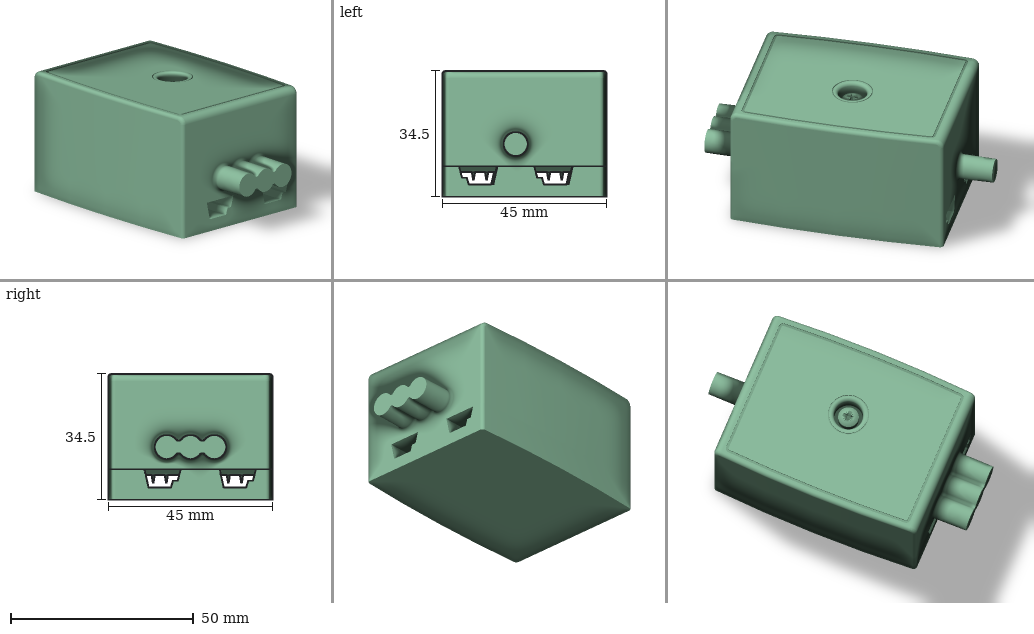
import cadquery as cq
import math

BOX_LENGTH = 60.0
END_WIDTH = 43.0
SIDE_RADIUS = 441.6
BOX_HEIGHT = 34.5
SPLIT_HEIGHT = 8.4
END_EDGE_RADIUS = 2.0
SIDE_EDGE_RADIUS = END_EDGE_RADIUS / 2

RECESS_END_INSET = 2.7
RECESS_SIDE_INSET = 1.8
RECESS_CORNER_RADIUS = 1.3
LABEL_GAP = 0.7
LABEL_THICKNESS = 0.3
LABEL_HOLE_DIAMETER = 11.3
COLLAR_DIAMETER = 10.6

SCREW_Y = 2.6
WELL_DIAMETER = 8.0
WELL_DEPTH = 4.5
WELL_EDGE_RADIUS = 1.0
HEAD_DIAMETER = 5.7
HEAD_RIM_HEIGHT = 2.1
DOME_HEIGHT = 0.8
SHANK_DIAMETER = 3.2
SHANK_TIP_HEIGHT = 3.2
CROSS_SPAN = 3.9
CROSS_ARM_WIDTH = 1.0
CROSS_DEPTH = 1.3
NOTCH_SPAN = 3.7
NOTCH_WIDTH = 0.12

OVERALL_LENGTH = 80.0
CABLE_DIAMETER = 6.6
CABLE_HEIGHT = 14.5
CABLE_DRAFT = 0.7
INLET_Y = 2.4
INLET_ROOT_RADIUS = 0.8
OUTLET_COUNT = 3
OUTLET_PITCH = 6.5
OUTLET_VALLEY_RADIUS = 0.8
OUTLET_ROOT_RADIUS = 0.7

CHANNEL_CENTRES = (12.6, -7.9)
CHANNEL_TOP_LEFT = 5.3
CHANNEL_STEP_OUTER = 4.4
CHANNEL_STEP_INNER = 3.1
CHANNEL_FLOOR_LEFT = 2.6
CHANNEL_FLOOR_RIGHT = 4.2
CHANNEL_TOP_RIGHT = 5.3
CHANNEL_STEP_HEIGHT = 5.3
CHANNEL_FLOOR_HEIGHT = 3.4
CHANNEL_TAPER = 0.6
TONGUE_HEIGHT = 6.8
TONGUE_LENGTH = 20.0
PIN_PITCH = 3.6
PIN_OFFSET = -0.5
PIN_ROOT_DIAMETER = 1.0
PIN_TIP_DIAMETER = 0.2
PIN_LENGTH = 2.1

CABLE_LENGTH = (OVERALL_LENGTH - BOX_LENGTH) / 2
HALF_LENGTH = BOX_LENGTH / 2
SIDE_BOW = SIDE_RADIUS - math.sqrt(SIDE_RADIUS**2 - HALF_LENGTH**2)
BOX_WIDTH = END_WIDTH + 2 * SIDE_BOW
LABEL_FLOOR = BOX_HEIGHT - LABEL_THICKNESS
WELL_FLOOR = BOX_HEIGHT - WELL_DEPTH


def bowed_block(end_inset, side_inset, bottom, top):
    """Block whose two long sides bulge outwards as arcs, inset from the box outline."""
    half_x = HALF_LENGTH - end_inset
    crest_y = BOX_WIDTH / 2 - side_inset
    radius = SIDE_RADIUS - side_inset
    corner_y = crest_y - radius + math.sqrt(radius**2 - half_x**2)
    return (
        cq.Workplane("XY", origin=(0, 0, bottom))
        .moveTo(-half_x, -corner_y)
        .threePointArc((0, -crest_y), (half_x, -corner_y))
        .lineTo(half_x, corner_y)
        .threePointArc((0, crest_y), (-half_x, corner_y))
        .close()
        .extrude(top - bottom)
    )


def disc(diameter, bottom, top):
    """Upright cylinder on the screw axis."""
    return cq.Workplane("XY", origin=(0, SCREW_Y, bottom)).circle(diameter / 2).extrude(top - bottom)


def box_between(x_min, x_max, y_min, y_max, z_min, z_max):
    return cq.Workplane("XY", origin=(x_min, y_min, z_min)).box(
        x_max - x_min, y_max - y_min, z_max - z_min, centered=False
    )


def enclosure():
    """Outer form shared by base and cover, with all outside edges rounded."""
    form = bowed_block(0, 0, 0, BOX_HEIGHT)
    form = form.faces(">Z").edges("|Y").fillet(END_EDGE_RADIUS)
    return form.faces(">Y or <Y").edges("not <Z").fillet(SIDE_EDGE_RADIUS)


def channel(centre_y):
    """Stepped channel along X whose right wall closes in towards +X."""

    def profile(plane, taper):
        return plane.polyline(
            [
                (centre_y + CHANNEL_TOP_LEFT, SPLIT_HEIGHT),
                (centre_y + CHANNEL_STEP_OUTER, CHANNEL_STEP_HEIGHT),
                (centre_y + CHANNEL_STEP_INNER, CHANNEL_STEP_HEIGHT),
                (centre_y + CHANNEL_FLOOR_LEFT, CHANNEL_FLOOR_HEIGHT),
                (centre_y - CHANNEL_FLOOR_RIGHT + taper, CHANNEL_FLOOR_HEIGHT),
                (centre_y - CHANNEL_TOP_RIGHT + taper, SPLIT_HEIGHT),
            ]
        ).close()

    near = profile(cq.Workplane("YZ", origin=(-HALF_LENGTH, 0, 0)), 0)
    return profile(near.workplane(offset=BOX_LENGTH), CHANNEL_TAPER).loft(ruled=True)


def tongue(centre_y):
    """Bar under the cover that fills the top of a channel over its middle stretch."""
    slab = box_between(
        -TONGUE_LENGTH / 2, TONGUE_LENGTH / 2, -BOX_WIDTH / 2, BOX_WIDTH / 2, TONGUE_HEIGHT, SPLIT_HEIGHT
    )
    return channel(centre_y).intersect(slab)


def pin(y):
    """Tapered pin hanging from a tongue."""
    return cq.Workplane(
        cq.Solid.makeCone(
            PIN_ROOT_DIAMETER / 2, PIN_TIP_DIAMETER / 2, PIN_LENGTH, pnt=(0, y, TONGUE_HEIGHT), dir=(0, 0, -1)
        )
    )


def inlet_cable():
    """Single cable on the -X end, slightly thicker at its root."""
    tip = cq.Workplane("YZ", origin=(-HALF_LENGTH - CABLE_LENGTH, INLET_Y, CABLE_HEIGHT))
    return tip.circle(CABLE_DIAMETER / 2).extrude(CABLE_LENGTH, taper=-CABLE_DRAFT)


def outlet_cables():
    """Row of cables on the +X end, with rounded valleys between neighbours."""
    first_y = -OUTLET_PITCH * (OUTLET_COUNT - 1) / 2
    tip = cq.Sketch().push([(first_y + index * OUTLET_PITCH, 0) for index in range(OUTLET_COUNT)])
    tip = tip.circle(CABLE_DIAMETER / 2).reset()
    for index in range(1, OUTLET_COUNT):
        tip = tip.face(outlet_web(first_y + (index - 0.5) * OUTLET_PITCH))
    tip = tip.clean()
    free_end = cq.Workplane("YZ", origin=(HALF_LENGTH + CABLE_LENGTH, 0, CABLE_HEIGHT))
    return free_end.placeSketch(tip).extrude(-CABLE_LENGTH, taper=-CABLE_DRAFT)


def outlet_web(middle_y):
    """Outline of the web between two cables, its top and bottom hollowed tangent to both."""
    reach = CABLE_DIAMETER / 2 + OUTLET_VALLEY_RADIUS
    half_pitch = OUTLET_PITCH / 2
    valley_rise = math.sqrt(reach**2 - half_pitch**2)
    touch = CABLE_DIAMETER / 2 / reach
    touch_y = half_pitch * (1 - touch)
    touch_z = valley_rise * touch
    valley_z = valley_rise - OUTLET_VALLEY_RADIUS
    return (
        cq.Workplane("XY", origin=(middle_y, 0, 0))
        .moveTo(-touch_y, touch_z)
        .threePointArc((0, valley_z), (touch_y, touch_z))
        .lineTo(touch_y, -touch_z)
        .threePointArc((0, -valley_z), (-touch_y, -touch_z))
        .close()
        .val()
    )


def root_edges(solid, x, y_min, y_max):
    """Edges where cables meet an end wall."""
    size = CABLE_DIAMETER / 2 + 0.4
    return solid.edges(
        cq.selectors.BoxSelector(
            (x - 0.1, y_min - size, CABLE_HEIGHT - size), (x + 0.1, y_max + size, CABLE_HEIGHT + size)
        )
    )


def make_cover():
    cover = enclosure().intersect(
        box_between(-HALF_LENGTH, HALF_LENGTH, -BOX_WIDTH / 2, BOX_WIDTH / 2, SPLIT_HEIGHT, BOX_HEIGHT)
    )
    cover = cover.union(inlet_cable())
    cover = root_edges(cover, -HALF_LENGTH, INLET_Y, INLET_Y).fillet(INLET_ROOT_RADIUS)
    cover = cover.union(outlet_cables())
    outlet_reach = OUTLET_PITCH * (OUTLET_COUNT - 1) / 2
    cover = root_edges(cover, HALF_LENGTH, -outlet_reach, outlet_reach).fillet(OUTLET_ROOT_RADIUS)
    recess = bowed_block(RECESS_END_INSET, RECESS_SIDE_INSET, LABEL_FLOOR, BOX_HEIGHT)
    recess = recess.edges("|Z").fillet(RECESS_CORNER_RADIUS)
    cover = cover.cut(recess.cut(disc(COLLAR_DIAMETER, LABEL_FLOOR, BOX_HEIGHT)))
    well_mouth = WELL_DIAMETER + 2 * WELL_EDGE_RADIUS
    cover = cover.cut(
        cq.Workplane("XZ", origin=(0, SCREW_Y, 0))
        .moveTo(0, WELL_FLOOR)
        .lineTo(WELL_DIAMETER / 2, WELL_FLOOR)
        .lineTo(WELL_DIAMETER / 2, BOX_HEIGHT - WELL_EDGE_RADIUS)
        .radiusArc((well_mouth / 2, BOX_HEIGHT), WELL_EDGE_RADIUS)
        .lineTo(0, BOX_HEIGHT)
        .close()
        .revolve(360, (0, 0), (0, 1))
    )
    cover = cover.cut(disc(SHANK_DIAMETER, SPLIT_HEIGHT, WELL_FLOOR))
    for centre_y in CHANNEL_CENTRES:
        cover = cover.union(tongue(centre_y))
        for side in (-1, 1):
            cover = cover.union(pin(centre_y + PIN_OFFSET + side * PIN_PITCH / 2))
    return cover


def make_base():
    base = enclosure().intersect(
        box_between(-HALF_LENGTH, HALF_LENGTH, -BOX_WIDTH / 2, BOX_WIDTH / 2, 0, SPLIT_HEIGHT)
    )
    for centre_y in CHANNEL_CENTRES:
        base = base.cut(channel(centre_y))
    return base.cut(disc(SHANK_DIAMETER, SHANK_TIP_HEIGHT, SPLIT_HEIGHT))


def make_label():
    label = bowed_block(
        RECESS_END_INSET + LABEL_GAP, RECESS_SIDE_INSET + LABEL_GAP, LABEL_FLOOR, BOX_HEIGHT
    )
    label = label.edges("|Z").fillet(RECESS_CORNER_RADIUS - LABEL_GAP)
    return label.cut(disc(LABEL_HOLE_DIAMETER, LABEL_FLOOR, BOX_HEIGHT))


def make_screw():
    """Domed cross-recess screw seated on the floor of the well."""
    rim_top = WELL_FLOOR + HEAD_RIM_HEIGHT
    head_top = rim_top + DOME_HEIGHT
    radius = HEAD_DIAMETER / 2
    dome_radius = (radius**2 + DOME_HEIGHT**2) / (2 * DOME_HEIGHT)
    screw = (
        cq.Workplane("XZ", origin=(0, SCREW_Y, 0))
        .moveTo(0, SHANK_TIP_HEIGHT)
        .lineTo(SHANK_DIAMETER / 2, SHANK_TIP_HEIGHT)
        .lineTo(SHANK_DIAMETER / 2, WELL_FLOOR)
        .lineTo(radius, WELL_FLOOR)
        .lineTo(radius, rim_top)
        .radiusArc((0, head_top), -dome_radius)
        .close()
        .revolve(360, (0, 0), (0, 1))
    )
    for angle in (0, 90):
        screw = screw.cut(driver_slot(CROSS_SPAN, CROSS_ARM_WIDTH, angle, head_top))
        screw = screw.cut(driver_slot(NOTCH_SPAN, NOTCH_WIDTH, angle + 45, head_top))
    return screw


def driver_slot(span, width, angle, head_top):
    """Cutter for two opposite arms of the cross, sloping down to a common floor."""
    floor = head_top - CROSS_DEPTH
    slot = (
        cq.Workplane("XZ", origin=(0, width / 2, 0))
        .moveTo(-CROSS_ARM_WIDTH / 2, floor)
        .lineTo(CROSS_ARM_WIDTH / 2, floor)
        .lineTo(span / 2, head_top)
        .lineTo(-span / 2, head_top)
        .close()
        .extrude(width)
    )
    return slot.rotate((0, 0, 0), (0, 0, 1), angle).translate((0, SCREW_Y, 0))


cover = make_cover()
base = make_base()
label = make_label()
screw = make_screw()

result = cq.Compound.makeCompound([cover.val(), base.val(), label.val(), screw.val()])